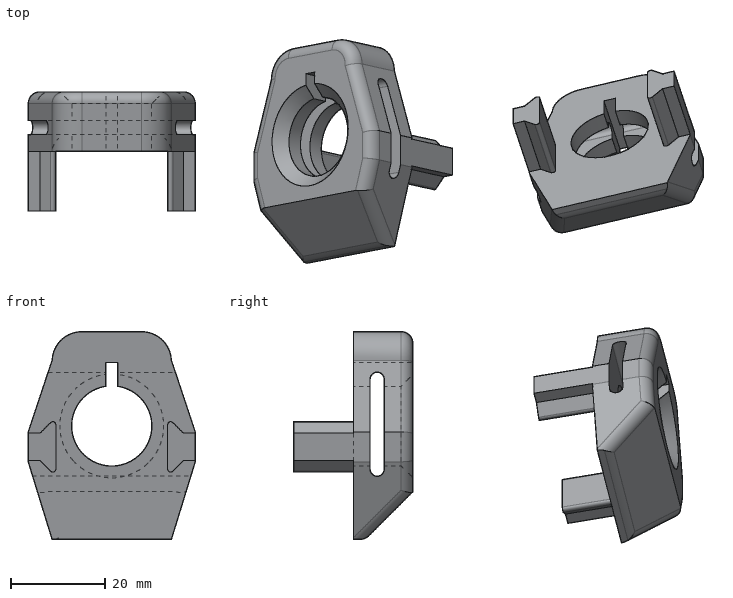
import cadquery as cq
import math

BODY_WIDTH = 35.56
BODY_HEIGHT = 44.2
BODY_DEPTH = 12.7
END_WIDTH = 25.4
WAIST_HEIGHT = 6.35
WAIST_Z = 19.685
TOP_CORNER_RADIUS = 6.35
SHOULDER_RISE = 15.24
BOTTOM_CHAMFER = 10.16
BACK_FILLET = 2.54

BORE_DIAMETER = 17.02
BORE_Z = 24.13
BORE_FLARE = 2.54
KEYWAY_WIDTH = 2.54
KEYWAY_REACH = 13.46

SLOT_HEIGHT = 22.1
SLOT_WIDTH = 2.95
SLOT_Y = 5.08
SLOT_Z = 24.5

RAIL_LENGTH = 12.7
RAIL_THICKNESS = 5.88
RAIL_NECK_HEIGHT = 5.84
RAIL_NECK_THICKNESS = 2.54
RAIL_TIP_RADIUS = 0.635

HALF_WIDTH = BODY_WIDTH / 2
HALF_END = END_WIDTH / 2
SELECT_MARGIN = 0.1
FRONT_EXCESS = 5.0


def make_block():
    """Extrude the front outline, with its rounded top corners, toward +Y."""
    waist_bottom = WAIST_Z - WAIST_HEIGHT / 2
    waist_top = WAIST_Z + WAIST_HEIGHT / 2
    shoulder_z = waist_top + SHOULDER_RISE
    half_flat = HALF_END - TOP_CORNER_RADIUS
    arc_center_z = BODY_HEIGHT - TOP_CORNER_RADIUS
    shoulder_x = half_flat + math.sqrt(TOP_CORNER_RADIUS**2 - (shoulder_z - arc_center_z) ** 2)
    return (
        cq.Workplane("XZ", origin=(0, -FRONT_EXCESS, 0))
        .moveTo(-HALF_END, 0)
        .lineTo(HALF_END, 0)
        .lineTo(HALF_WIDTH, waist_bottom)
        .lineTo(HALF_WIDTH, waist_top)
        .lineTo(shoulder_x, shoulder_z)
        .radiusArc((half_flat, BODY_HEIGHT), -TOP_CORNER_RADIUS)
        .lineTo(-half_flat, BODY_HEIGHT)
        .radiusArc((-shoulder_x, shoulder_z), -TOP_CORNER_RADIUS)
        .lineTo(-HALF_WIDTH, waist_top)
        .lineTo(-HALF_WIDTH, waist_bottom)
        .close()
        .extrude(-BODY_DEPTH - FRONT_EXCESS)
    )


def chamfer_bottom(block):
    """Cut the lower back edge away at 45 degrees."""
    wedge = (
        cq.Workplane("YZ")
        .moveTo(BODY_DEPTH, 0)
        .lineTo(BODY_DEPTH, BOTTOM_CHAMFER)
        .lineTo(BODY_DEPTH - BOTTOM_CHAMFER, 0)
        .close()
        .extrude(HALF_WIDTH, both=True)
    )
    return block.cut(wedge)


def round_back(block):
    """Round the rim of the back and sloped faces; the crease between the two stays sharp."""
    back_face = block.faces(">Y")
    sloped_face = block.faces(">(0, 1, -1)")
    rim = [
        edge
        for edge in back_face.edges().vals() + sloped_face.edges().vals()
        if abs(edge.Center().z - BOTTOM_CHAMFER) > SELECT_MARGIN
    ]
    return block.newObject(rim).fillet(BACK_FILLET)


def trim_front(block):
    """Cut off the spare depth so that the front face lies on the XZ plane."""
    excess = (
        cq.Workplane("XZ", origin=(0, 0, BODY_HEIGHT / 2))
        .rect(2 * BODY_WIDTH, 2 * BODY_HEIGHT)
        .extrude(FRONT_EXCESS)
    )
    return block.cut(excess)


def make_bore():
    """Round bore, countersunk at the back, with a square keyway above it."""
    bore_radius = BORE_DIAMETER / 2
    bore = (
        cq.Workplane("XY")
        .lineTo(bore_radius, 0)
        .lineTo(bore_radius, BODY_DEPTH - BORE_FLARE)
        .lineTo(bore_radius + BORE_FLARE, BODY_DEPTH)
        .lineTo(0, BODY_DEPTH)
        .close()
        .revolve(360, (0, 0, 0), (0, 1, 0))
        .translate((0, 0, BORE_Z))
    )
    keyway = (
        cq.Workplane("XZ")
        .center(0, BORE_Z + KEYWAY_REACH / 2)
        .rect(KEYWAY_WIDTH, KEYWAY_REACH)
        .extrude(-BODY_DEPTH)
    )
    return bore.union(keyway)


def make_strap_slot():
    """Round-ended slot, upright, running the full width of the body."""
    return (
        cq.Workplane("YZ")
        .center(SLOT_Y, SLOT_Z)
        .slot2D(SLOT_HEIGHT, SLOT_WIDTH, 90)
        .extrude(HALF_WIDTH, both=True)
    )


def make_rail():
    """Right-hand rail: a neck at the side, flaring at 45 degrees to a head with rounded tips."""
    neck_half = RAIL_NECK_HEIGHT / 2
    head_half = neck_half + RAIL_THICKNESS - RAIL_NECK_THICKNESS
    neck_x = HALF_WIDTH - RAIL_NECK_THICKNESS
    inner_x = HALF_WIDTH - RAIL_THICKNESS
    return (
        cq.Workplane("XZ", origin=(0, 0, WAIST_Z))
        .moveTo(HALF_WIDTH, -neck_half)
        .lineTo(HALF_WIDTH, neck_half)
        .lineTo(neck_x, neck_half)
        .lineTo(inner_x, head_half)
        .lineTo(inner_x, -head_half)
        .lineTo(neck_x, -neck_half)
        .close()
        .extrude(RAIL_LENGTH)
        .edges("|Y and <X")
        .fillet(RAIL_TIP_RADIUS)
    )


body = trim_front(round_back(chamfer_bottom(make_block())))
body = body.cut(make_bore()).cut(make_strap_slot())
rail = make_rail()
result = body.union(rail).union(rail.mirror("YZ"))